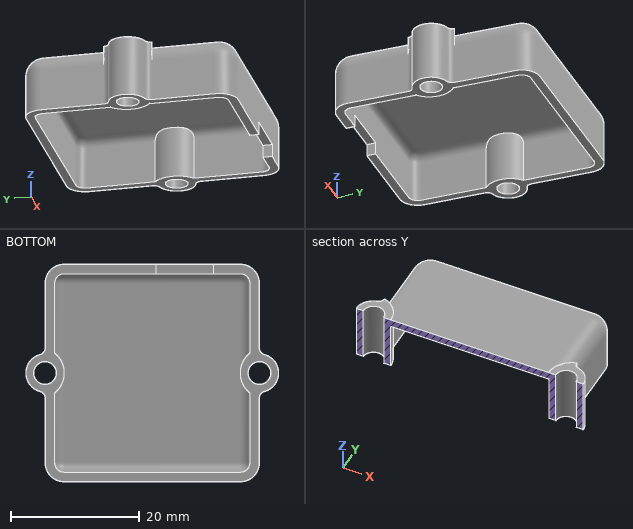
import cadquery as cq
import math

body_length = 33.5
body_width = 34.0
height = 9.8
edge_radius = 3.0
wall = 1.5

lug_radius = 3.0
lug_hole_diameter = 3.5
lug_blend_radius = 1.0
lug_x = body_length / 2

notch_start_x = 0.6
notch_length = 9.0
notch_height = 2.0


def rounded_block(length, width, block_height, radius):
    """Block with rounded vertical corners and a rounded top edge."""
    block = cq.Workplane("XY").box(length, width, block_height, centered=(True, True, False))
    return block.edges("|Z or >Z").fillet(radius)


def make_body():
    """Cover of even wall thickness with an open underside."""
    outside = rounded_block(body_length, body_width, height, edge_radius)
    cavity = rounded_block(body_length - 2 * wall, body_width - 2 * wall, height - wall, edge_radius - wall)
    return outside.cut(cavity)


def make_lug():
    """Lug on the +X side: a round ear blended into the wall, with a shallower arc inside the body."""
    blend_y = math.sqrt((lug_radius + lug_blend_radius) ** 2 - lug_blend_radius**2)
    tangent_share = lug_radius / (lug_radius + lug_blend_radius)
    tangent_x = lug_blend_radius * tangent_share
    tangent_y = blend_y * tangent_share

    wall_angle = math.pi
    ear_angle = math.pi + math.atan2(blend_y, lug_blend_radius)
    middle_angle = (wall_angle + ear_angle) / 2
    middle_x = lug_blend_radius * (1 + math.cos(middle_angle))
    middle_y = blend_y + lug_blend_radius * math.sin(middle_angle)

    return (
        cq.Workplane("XY")
        .center(lug_x, 0)
        .moveTo(0, blend_y)
        .threePointArc((middle_x, middle_y), (tangent_x, tangent_y))
        .threePointArc((lug_radius, 0), (tangent_x, -tangent_y))
        .threePointArc((middle_x, -middle_y), (0, -blend_y))
        .threePointArc((-lug_radius, 0), (0, blend_y))
        .close()
        .extrude(height)
    )


def make_notch():
    """Rectangular cut through the lower edge of the -Y wall."""
    return (
        cq.Workplane("XY")
        .box(notch_length, wall, notch_height, centered=False)
        .translate((notch_start_x, -body_width / 2, 0))
    )


lug = make_lug()
lug_holes = (
    cq.Workplane("XY")
    .pushPoints([(-lug_x, 0), (lug_x, 0)])
    .circle(lug_hole_diameter / 2)
    .extrude(height)
)

result = make_body().union(lug).union(lug.mirror("YZ")).cut(lug_holes).cut(make_notch())